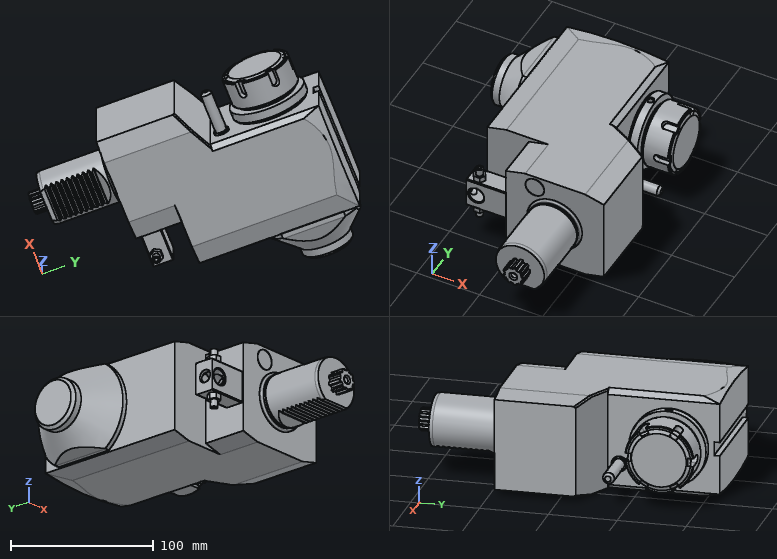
import cadquery as cq
import math


HALF_HEIGHT = 37.5
EDGE_HEIGHT = 33.7
BEVEL_WIDTH = 15.1
BACK_Y = 156.0
HEAD_LEFT = -72.3
HEAD_RIGHT = 8.8
HEAD_BOTTOM = 35.0
HEAD_RIGHT_BEVEL = 4.2
BASE_HALF_WIDTH = 39.0
SLOPE_TOP = 74.5
SLOPE_BOTTOM = 59.0
SLOPE_CHAMFER = 1.0
KEYWAY_WIDTH = 10.0
KEYWAY_DEPTH = 4.2
PLUG_X, PLUG_Z = -16.0, 27.5
PLUG_RADIUS = 7.5
PLUG_DEPTH = 0.2

CROWN_HEIGHT = 36.8
CROWN_LEFT_Y = 144.0
CROWN_RIGHT_Y = 143.2
CROWN_CURVE = [(-42.5, 147.8), (-20.0, 152.6), (-1.8, 147.4)]

SPINDLE_Y = 120.0
COVER_RADIUS = 40.0
COVER_RIM_X = -76.2
COVER_FLAT_HEIGHT = 32.5
COVER_FLAT_TILT = 15.0
CAP_RADIUS = 19.3
CAP_END_X = -105.1
CAP_CHAMFER = 2.5
SPACER_RADIUS = 27.0
SPACER_END_X = 10.3
COLLAR_RADIUS = 28.0
COLLAR_END_X = 17.0
NECK_RADIUS = 21.7
NUT_RADIUS = 25.0
NUT_START_X = 19.3
NUT_END_X = 40.3
NUT_BACK_CHAMFER = 0.9
NUT_FRONT_CHAMFER = 0.7
NUT_LIP_RADIUS = 22.8
NOSE_RADIUS = 20.0
NOSE_END_X = 41.5
SLOT_COUNT = 6
SLOT_WIDTH = 6.0
SLOT_LENGTH = 11.5
SLOT_DEPTH = 4.4
SCREW_HOLE_X = 13.0
SCREW_HOLE_RADIUS = 2.0
SCREW_COUNTERSINK = 0.9
SCREW_HOLE_DEPTH = 4.4

PIN_Y, PIN_Z = 83.0, -17.3
PIN_RADIUS = 4.2
PIN_CHAMFER = 2.0
PIN_COLLAR_RADIUS = 5.5
PIN_COLLAR_LENGTH = 1.3

FLANGE_RADIUS = 21.7
FLANGE_THICKNESS = 2.0
FLANGE_FILLET = 1.0
RELIEF_RADIUS = 19.5
RELIEF_END = 4.0
SHANK_RADIUS = 20.0
SHANK_LENGTH = 52.8
SHANK_TAPER_LENGTH = 2.6
SHANK_TAPER_DROP = 0.7
FLAT_Z = -15.5
TOOTH_DEPTH = 1.5
TOOTH_GAPS = 10
FIRST_GAP_Y = -11.5
LAST_GAP_Y = -47.5
GAP_HALF_FLOOR = 0.2
GAP_HALF_MOUTH = 1.5

SPLINE_COUNT = 9
SPLINE_TIP_RADIUS = 8.3
SPLINE_ROOT_RADIUS = 6.8
SPLINE_TIP_SHARE = 0.17
SPLINE_ROOT_SHARE = 0.3
SPLINE_END_Y = -63.0
SPLINE_CHAMFER = 0.7
CENTRE_HOLE_RADIUS = 2.2
CENTRE_COUNTERSINK = 1.0
CENTRE_HOLE_DEPTH = 4.4

BLOCK_LEFT = -71.0
BLOCK_LOW_Y, BLOCK_HIGH_Y = 0.9, 16.2
BLOCK_HALF_HEIGHT = 12.0
BLOCK_CHAMFER = 0.7
NIPPLE_X, NIPPLE_Y = -63.0, 6.1
HEX_FLATS = 8.3
HEX_HEIGHT = 4.4
NIPPLE_RADIUS = 2.6
NIPPLE_TOP = 22.0
NIPPLE_BORE_RADIUS = 1.3
NIPPLE_BORE_DEPTH = 6.5
FRONT_PORT_RADIUS = 6.0
FRONT_PORT_DEPTH = 13.5
FRONT_PORT_COUNTERSINK = 0.7
SIDE_PORT_RADIUS = 4.8
SIDE_PORT_Y = 7.7
SIDE_PORT_DEPTH = 19.7
PASSAGE_RADIUS = 1.3


def mirrored_pair(shape):
    """The shape together with its mirror image below Z = 0."""
    return shape.union(shape.mirror("XY"))


def countersunk_hole(plane, radius, depth, countersink):
    """The material removed by a hole sunk against the plane's normal, with a 45 degree mouth."""
    hole = plane.circle(radius).extrude(-depth)
    mouth = plane.circle(radius + countersink).extrude(-countersink, taper=45)
    return hole.union(mouth)


def bevelled_bar(left, right, left_bevel, right_bevel, y_start, y_end):
    """A bar along Y whose top and bottom edges are bevelled."""
    upper = [
        (left, EDGE_HEIGHT),
        (left + left_bevel, HALF_HEIGHT),
        (right - right_bevel, HALF_HEIGHT),
        (right, EDGE_HEIGHT),
    ]
    lower = [(x, -z) for x, z in reversed(upper)]
    plane = cq.Workplane("XZ", origin=(0, y_end, 0))
    return plane.polyline(upper + lower).close().extrude(y_end - y_start)


def crown_cutter():
    """The wedge removed above the crowned rear edge of the head."""
    inner_left = HEAD_LEFT + BEVEL_WIDTH
    inner_right = HEAD_RIGHT - HEAD_RIGHT_BEVEL
    back_left = cq.Vector(HEAD_LEFT, BACK_Y, EDGE_HEIGHT)
    back_right = cq.Vector(HEAD_RIGHT, BACK_Y, EDGE_HEIGHT)
    back_middle = cq.Vector((HEAD_LEFT + HEAD_RIGHT) / 2, BACK_Y, CROWN_HEIGHT)
    top_left = cq.Vector(inner_left, CROWN_LEFT_Y, HALF_HEIGHT)
    top_right = cq.Vector(inner_right, CROWN_RIGHT_Y, HALF_HEIGHT)
    corner_left = cq.Vector(inner_left, BACK_Y, HALF_HEIGHT)
    corner_right = cq.Vector(inner_right, BACK_Y, HALF_HEIGHT)

    curve_points = [cq.Vector(x, y, HALF_HEIGHT) for x, y in CROWN_CURVE]
    back_arc = cq.Edge.makeThreePointArc(back_left, back_middle, back_right)
    top_curve = cq.Edge.makeSpline([top_left] + curve_points + [top_right])
    left_ridge = cq.Edge.makeLine(back_left, top_left)
    right_ridge = cq.Edge.makeLine(back_right, top_right)
    back_left_edge = cq.Edge.makeLine(back_left, corner_left)
    back_right_edge = cq.Edge.makeLine(back_right, corner_right)
    top_left_edge = cq.Edge.makeLine(top_left, corner_left)
    top_right_edge = cq.Edge.makeLine(top_right, corner_right)
    corner_edge = cq.Edge.makeLine(corner_left, corner_right)

    outlines = [
        [back_arc, back_right_edge, corner_edge, back_left_edge],
        [top_curve, top_right_edge, corner_edge, top_left_edge],
        [left_ridge, top_left_edge, back_left_edge],
        [right_ridge, top_right_edge, back_right_edge],
    ]
    faces = [cq.Face.makeFromWires(cq.Wire.assembleEdges(edges)) for edges in outlines]
    faces.append(cq.Face.makeRuledSurface(back_arc, top_curve))
    return cq.Workplane(obj=cq.Solid.makeSolid(cq.Shell.makeShell(faces)))


def housing():
    head = bevelled_bar(HEAD_LEFT, HEAD_RIGHT, BEVEL_WIDTH, HEAD_RIGHT_BEVEL, HEAD_BOTTOM, BACK_Y)
    head = head.cut(mirrored_pair(crown_cutter()))
    head_middle = (HEAD_LEFT + HEAD_RIGHT) / 2
    keyway = (
        cq.Workplane(origin=(head_middle, BACK_Y, 0))
        .box(HEAD_RIGHT - HEAD_LEFT, 2 * KEYWAY_DEPTH, KEYWAY_WIDTH)
    )

    base = bevelled_bar(-BASE_HALF_WIDTH, BASE_HALF_WIDTH, BEVEL_WIDTH, BEVEL_WIDTH, 0, SLOPE_TOP)
    corner = (
        cq.Workplane("XY")
        .polyline([
            (HEAD_RIGHT, SLOPE_TOP),
            (BASE_HALF_WIDTH, SLOPE_BOTTOM),
            (BASE_HALF_WIDTH, SLOPE_TOP),
        ])
        .close()
        .extrude(HALF_HEIGHT, both=True)
    )
    base = base.cut(corner)
    slope_direction = cq.Vector(SLOPE_TOP - SLOPE_BOTTOM, BASE_HALF_WIDTH - HEAD_RIGHT, 0)
    slope_face = base.faces(cq.selectors.DirectionMinMaxSelector(slope_direction))
    base = slope_face.edges("not |Z").chamfer(SLOPE_CHAMFER)
    plug = (
        cq.Workplane("XZ", origin=(PLUG_X, 0, PLUG_Z)).circle(PLUG_RADIUS).extrude(-PLUG_DEPTH)
    )
    return head.cut(keyway).union(base).cut(plug)


def turned_on_spindle(points):
    """Revolve an (x, radius) outline about the spindle axis."""
    profile = cq.Workplane("XY", origin=(0, SPINDLE_Y, 0)).polyline(points).close()
    return profile.revolve(360, (0, 0), (1, 0))


def cover():
    """Conical cover and cap on the -X side, cut back on three sides."""
    cone_end_x = COVER_RIM_X - (COVER_RADIUS - CAP_RADIUS)
    body = turned_on_spindle([
        (HEAD_LEFT, 0),
        (HEAD_LEFT, COVER_RADIUS),
        (COVER_RIM_X, COVER_RADIUS),
        (cone_end_x, CAP_RADIUS),
        (CAP_END_X + CAP_CHAMFER, CAP_RADIUS),
        (CAP_END_X, CAP_RADIUS - CAP_CHAMFER),
        (CAP_END_X, 0),
    ])
    end_flat_height = COVER_FLAT_HEIGHT - (COVER_RIM_X - CAP_END_X) * math.tan(
        math.radians(COVER_FLAT_TILT)
    )
    upper = [
        (HEAD_LEFT, COVER_FLAT_HEIGHT),
        (COVER_RIM_X, COVER_FLAT_HEIGHT),
        (CAP_END_X, end_flat_height),
    ]
    lower = [(x, -z) for x, z in reversed(upper)]
    envelope = (
        cq.Workplane("XZ", origin=(0, BACK_Y - KEYWAY_DEPTH, 0))
        .polyline(upper + lower)
        .close()
        .extrude(3 * COVER_RADIUS)
    )
    return body.intersect(envelope)


def nose():
    """Collar, slotted clamping nut and spindle end on the +X side."""
    body = turned_on_spindle([
        (HEAD_RIGHT, 0),
        (HEAD_RIGHT, SPACER_RADIUS),
        (SPACER_END_X, SPACER_RADIUS),
        (SPACER_END_X, COLLAR_RADIUS),
        (COLLAR_END_X, COLLAR_RADIUS),
        (COLLAR_END_X, NECK_RADIUS),
        (NUT_START_X, NECK_RADIUS),
        (NUT_START_X, NUT_RADIUS - NUT_BACK_CHAMFER),
        (NUT_START_X + NUT_BACK_CHAMFER, NUT_RADIUS),
        (NUT_END_X - NUT_FRONT_CHAMFER, NUT_RADIUS),
        (NUT_END_X, NUT_RADIUS - NUT_FRONT_CHAMFER),
        (NUT_END_X, NUT_LIP_RADIUS),
        (NOSE_END_X, NOSE_RADIUS),
        (NOSE_END_X, 0),
    ])
    slot_start = NUT_END_X - SLOT_LENGTH + SLOT_WIDTH / 2
    slot = (
        cq.Workplane("XY", origin=(0, SPINDLE_Y, NUT_RADIUS - SLOT_DEPTH))
        .moveTo(NUT_END_X, SLOT_WIDTH / 2)
        .lineTo(slot_start, SLOT_WIDTH / 2)
        .threePointArc((NUT_END_X - SLOT_LENGTH, 0), (slot_start, -SLOT_WIDTH / 2))
        .lineTo(NUT_END_X, -SLOT_WIDTH / 2)
        .close()
        .extrude(2 * SLOT_DEPTH)
    )
    for index in range(SLOT_COUNT):
        angle = (index + 0.5) * 360 / SLOT_COUNT
        body = body.cut(slot.rotate((0, SPINDLE_Y, 0), (1, SPINDLE_Y, 0), angle))
    screw_plane = cq.Workplane("XY", origin=(SCREW_HOLE_X, SPINDLE_Y, COLLAR_RADIUS))
    return body.cut(countersunk_hole(screw_plane, SCREW_HOLE_RADIUS, SCREW_HOLE_DEPTH, SCREW_COUNTERSINK))


def locating_pin():
    plane = cq.Workplane("YZ", origin=(HEAD_RIGHT, PIN_Y, PIN_Z))
    pin = plane.circle(PIN_RADIUS).extrude(NOSE_END_X - HEAD_RIGHT).faces(">X").chamfer(PIN_CHAMFER)
    return pin.union(plane.circle(PIN_COLLAR_RADIUS).extrude(PIN_COLLAR_LENGTH))


def serration_cutter():
    """Everything removed below the serrated flat on the underside of the shank."""
    floor_z = FLAT_Z + TOOTH_DEPTH
    below_z = -2 * SHANK_RADIUS
    ramp_end_y = FIRST_GAP_Y + GAP_HALF_FLOOR
    points = [(ramp_end_y + floor_z - below_z, below_z), (ramp_end_y, floor_z)]
    pitch = (FIRST_GAP_Y - LAST_GAP_Y) / (TOOTH_GAPS - 1)
    for index in range(TOOTH_GAPS):
        gap_y = FIRST_GAP_Y - index * pitch
        if index > 0:
            points.append((gap_y + GAP_HALF_MOUTH, FLAT_Z))
            points.append((gap_y + GAP_HALF_FLOOR, floor_z))
        points.append((gap_y - GAP_HALF_FLOOR, floor_z))
        points.append((gap_y - GAP_HALF_MOUTH, FLAT_Z))
    points.append((-SHANK_LENGTH, FLAT_Z))
    points.append((-SHANK_LENGTH, below_z))
    return cq.Workplane("YZ").polyline(points).close().extrude(SHANK_RADIUS, both=True)


def shank():
    flange = cq.Workplane("XZ").circle(FLANGE_RADIUS).extrude(FLANGE_THICKNESS)
    flange = flange.faces("<Y").edges().fillet(FLANGE_FILLET)
    body = (
        cq.Workplane("XZ")
        .circle(SHANK_RADIUS)
        .extrude(SHANK_LENGTH)
        .faces("<Y")
        .chamfer(SHANK_TAPER_LENGTH, SHANK_TAPER_DROP)
    )
    relief = cq.Workplane("XZ").circle(2 * SHANK_RADIUS).circle(RELIEF_RADIUS).extrude(RELIEF_END)
    return body.cut(serration_cutter()).cut(relief).union(flange)


def spline_point(radius, pitch_fraction):
    angle = 2 * math.pi * pitch_fraction / SPLINE_COUNT
    return radius * math.cos(angle), radius * math.sin(angle)


def drive_end():
    """Splined stub with a centre hole at the end of the shank."""
    points = []
    for tooth in range(SPLINE_COUNT):
        points.append(spline_point(SPLINE_ROOT_RADIUS, tooth - SPLINE_ROOT_SHARE))
        points.append(spline_point(SPLINE_TIP_RADIUS, tooth - SPLINE_TIP_SHARE))
        points.append(spline_point(SPLINE_TIP_RADIUS, tooth + SPLINE_TIP_SHARE))
        points.append(spline_point(SPLINE_ROOT_RADIUS, tooth + SPLINE_ROOT_SHARE))
    length = -SHANK_LENGTH - SPLINE_END_Y
    start = cq.Workplane("XZ", origin=(0, -SHANK_LENGTH, 0))
    splines = start.polyline(points).close().extrude(length)
    envelope = start.circle(SPLINE_TIP_RADIUS).extrude(length).faces("<Y").chamfer(SPLINE_CHAMFER)
    end_plane = cq.Workplane("XZ", origin=(0, SPLINE_END_Y, 0))
    hole = countersunk_hole(end_plane, CENTRE_HOLE_RADIUS, CENTRE_HOLE_DEPTH, CENTRE_COUNTERSINK)
    return splines.intersect(envelope).cut(hole)


def coolant_block():
    length = -BASE_HALF_WIDTH - BLOCK_LEFT
    depth = BLOCK_HIGH_Y - BLOCK_LOW_Y
    block = (
        cq.Workplane()
        .box(length, depth, 2 * BLOCK_HALF_HEIGHT)
        .edges("|X")
        .chamfer(BLOCK_CHAMFER)
        .translate((BLOCK_LEFT + length / 2, BLOCK_LOW_Y + depth / 2, 0))
    )
    front_plane = cq.Workplane("XZ", origin=(NIPPLE_X, BLOCK_LOW_Y, 0))
    front_port = countersunk_hole(
        front_plane, FRONT_PORT_RADIUS, FRONT_PORT_DEPTH, FRONT_PORT_COUNTERSINK
    )
    side_plane = cq.Workplane("YZ", origin=(BLOCK_LEFT, SIDE_PORT_Y, 0))
    side_port = side_plane.circle(SIDE_PORT_RADIUS).extrude(SIDE_PORT_DEPTH)
    passage = side_plane.circle(PASSAGE_RADIUS).extrude(length)
    nipple_plane = cq.Workplane("XY", origin=(NIPPLE_X, NIPPLE_Y, BLOCK_HALF_HEIGHT))
    hex_corners = HEX_FLATS / math.cos(math.radians(30))
    nipple = (
        nipple_plane.polygon(6, hex_corners)
        .extrude(HEX_HEIGHT)
        .union(nipple_plane.circle(NIPPLE_RADIUS).extrude(NIPPLE_TOP - BLOCK_HALF_HEIGHT))
        .faces(">Z")
        .workplane()
        .circle(NIPPLE_BORE_RADIUS)
        .cutBlind(-NIPPLE_BORE_DEPTH)
    )
    return block.cut(front_port).cut(side_port).cut(passage).union(mirrored_pair(nipple))


result = housing()
for component in (cover(), nose(), locating_pin(), shank(), drive_end(), coolant_block()):
    result = result.union(component)